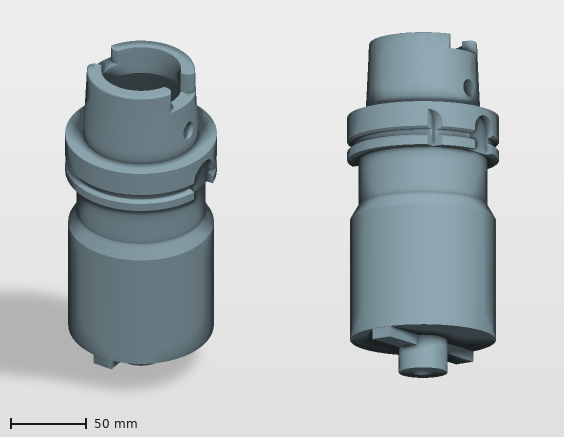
import cadquery as cq
import math


shank_length = 50.0
shank_base_radius = 38.1
shank_taper = 1 / 20
shank_rim_fillet = 1.5
shank_mouth_radius = 26.5
shank_mouth_depth = 20.0
clamp_bore_radius = 31.5
clamp_shoulder_angle = 30.0
clamp_bore_bottom = 10.0
lower_cone_angle = 75.0
lower_bore_bottom = -12.0
cross_hole_diameter = 12.0
cross_hole_height = 15.0

rim_slot_width = 20.0
rim_slot_depth_left = 10.0
rim_slot_depth_right = 14.6
rim_slot_corner_radius = 6.0
rim_slot_flare_reach = 32.4

coolant_bore_diameter = 24.0
coolant_bore_depth = 20.0
coolant_hole_diameter = 12.0

flange_radius = 50.0
flange_height = 29.0
groove_floor_radius = 46.0
groove_centre = -20.0
groove_floor_width = 4.0
groove_mouth_width = 6.9
groove_lip_depth = 2.0

drive_slot_width_left = 20.0
drive_slot_width_right = 23.0
drive_slot_top = -5.0
drive_slot_floor = 44.0
index_notch_floor = 31.3
index_notch_inner_side = 32.0
index_notch_radius = 8.0

neck_radius = 42.5
neck_end = -59.5
body_radius = 48.0
body_end = -150.0
body_cone_angle = 60.0
body_cone_height = (body_radius - neck_radius) * math.tan(math.radians(body_cone_angle))

spigot_radius = 16.0
spigot_length = 22.0
key_width = 14.0
key_height = 7.0
key_inner_reach = 16.4
key_outer_reach = 47.3
bottom = body_end - spigot_length


def outer_body():
    """Turned outside of the shank, flange, neck, body and spigot."""
    rim_radius = shank_base_radius - shank_taper * shank_length
    outline = [
        (0, bottom),
        (spigot_radius, bottom),
        (spigot_radius, body_end),
        (body_radius, body_end),
        (body_radius, neck_end - body_cone_height),
        (neck_radius, neck_end),
        (neck_radius, -flange_height),
        (flange_radius, -flange_height),
        (flange_radius, 0),
        (shank_base_radius, 0),
        (rim_radius, shank_length),
        (0, shank_length),
    ]
    body = cq.Workplane("XZ").polyline(outline).close().revolve(360, (0, 0), (0, 1))
    return body.faces(">Z").edges().fillet(shank_rim_fillet)


def gripper_groove():
    """Ring with chamfered mouth edges, cut around the flange."""
    lip_radius = flange_radius - groove_lip_depth
    mouth = groove_mouth_width / 2
    floor = groove_floor_width / 2
    outline = [
        (groove_floor_radius, groove_centre - floor),
        (lip_radius, groove_centre - floor),
        (flange_radius, groove_centre - mouth),
        (flange_radius, groove_centre + mouth),
        (lip_radius, groove_centre + floor),
        (groove_floor_radius, groove_centre + floor),
    ]
    return cq.Workplane("XZ").polyline(outline).close().revolve(360, (0, 0), (0, 1))


def axial_bores():
    """Mouth, undercut clamping bore with a conical end, lower bore, coolant bore and through hole."""
    undercut = clamp_bore_radius - shank_mouth_radius
    shoulder_top = shank_length - shank_mouth_depth
    shoulder_bottom = shoulder_top - undercut * math.tan(math.radians(clamp_shoulder_angle))
    cone_bottom = clamp_bore_bottom - undercut * math.tan(math.radians(lower_cone_angle))
    coolant_end = lower_bore_bottom - coolant_bore_depth
    outline = [
        (0, bottom),
        (coolant_hole_diameter / 2, bottom),
        (coolant_hole_diameter / 2, coolant_end),
        (coolant_bore_diameter / 2, coolant_end),
        (coolant_bore_diameter / 2, lower_bore_bottom),
        (shank_mouth_radius, lower_bore_bottom),
        (shank_mouth_radius, cone_bottom),
        (clamp_bore_radius, clamp_bore_bottom),
        (clamp_bore_radius, shoulder_bottom),
        (shank_mouth_radius, shoulder_top),
        (shank_mouth_radius, shank_length),
        (0, shank_length),
    ]
    return cq.Workplane("XZ").polyline(outline).close().revolve(360, (0, 0), (0, 1))


def cross_hole():
    """Hole along X through both shank walls."""
    return (
        cq.Workplane("YZ", origin=(-shank_base_radius, 0, cross_hole_height))
        .circle(cross_hole_diameter / 2)
        .extrude(2 * shank_base_radius)
    )


def rim_slot(side, depth):
    """Slot through the shank rim whose side walls flare outward in an arc."""
    half = rim_slot_width / 2
    radius = rim_slot_corner_radius
    flare_end = rim_slot_flare_reach
    flare_start = flare_end - radius
    outside = shank_base_radius
    return (
        cq.Workplane("XY", origin=(0, 0, shank_length - depth))
        .moveTo(0, -half)
        .lineTo(side * flare_start, -half)
        .radiusArc((side * flare_end, -half - radius), side * radius)
        .lineTo(side * outside, -half - radius)
        .lineTo(side * outside, half + radius)
        .lineTo(side * flare_end, half + radius)
        .radiusArc((side * flare_start, half), side * radius)
        .lineTo(0, half)
        .close()
        .extrude(depth)
    )


def round_top_slot(floor_x, centre_y, radius, side):
    """Slot facing +X or -X, open below the flange, with a semicircular top."""
    arch_centre = drive_slot_top - radius
    return (
        cq.Workplane("YZ", origin=(side * floor_x, 0, 0))
        .moveTo(centre_y - radius, -flange_height)
        .lineTo(centre_y - radius, arch_centre)
        .threePointArc((centre_y, drive_slot_top), (centre_y + radius, arch_centre))
        .lineTo(centre_y + radius, -flange_height)
        .close()
        .extrude(side * flange_radius)
    )


def drive_key(side):
    """Radial key under the body, just clear of the spigot."""
    length = key_outer_reach - key_inner_reach
    centre_y = side * (key_inner_reach + length / 2)
    centre_z = body_end - key_height / 2
    return cq.Workplane("XY").box(key_width, length, key_height).translate((0, centre_y, centre_z))


result = outer_body()
for side in (-1, 1):
    result = result.union(drive_key(side))

result = result.cut(gripper_groove()).cut(axial_bores()).cut(cross_hole())
result = result.cut(rim_slot(-1, rim_slot_depth_left)).cut(rim_slot(1, rim_slot_depth_right))

result = result.cut(round_top_slot(drive_slot_floor, 0, drive_slot_width_left / 2, -1))
result = result.cut(round_top_slot(drive_slot_floor, 0, drive_slot_width_right / 2, 1))
index_notch_centre = index_notch_inner_side + index_notch_radius
result = result.cut(round_top_slot(index_notch_floor, index_notch_centre, index_notch_radius, -1))